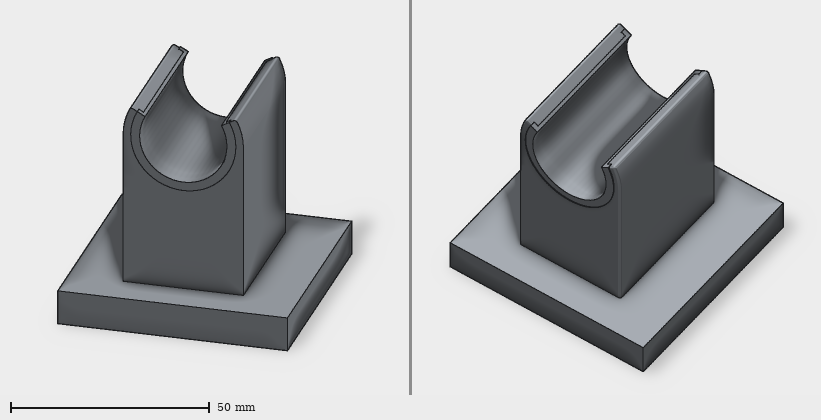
import cadquery as cq
import math

base_side = 60.0
base_height = 9.1

axis_height = 50.0
cradle_radius = 15.7
cradle_front = -20.05
cradle_back = 20.05
mouth_angle = 29.0
edge_radius = 0.7

liner_inner_radius = 11.4
sleeve_radius = 12.35
collar_radius = 13.75
collar_width = 1.5
liner_overhang = 0.25

liner_front = cradle_front
liner_back = cradle_back + liner_overhang


def on_mouth(radius, side):
    """Point (x, z) where a circle about the bore axis meets a mouth face."""
    angle = math.radians(mouth_angle)
    return side * radius * math.cos(angle), axis_height + radius * math.sin(angle)


def extrude_along_y(outline, front, back):
    """Extrude an XZ outline from Y = front to Y = back."""
    return outline.extrude(front - back).translate((0, front, 0))


def make_cylinder(radius, front, back):
    """Full cylinder about the bore axis."""
    return extrude_along_y(cq.Workplane("XZ").center(0, axis_height).circle(radius), front, back)


def make_envelope():
    """Stepped outer shape of the liner, before its bore and mouth are cut."""
    sleeve = make_cylinder(sleeve_radius, liner_front, liner_back)
    front_collar = make_cylinder(collar_radius, liner_front, liner_front + collar_width)
    back_collar = make_cylinder(collar_radius, liner_back - collar_width, liner_back)
    return sleeve.union(front_collar).union(back_collar)


def make_mouth():
    """Wedge that opens the top, with its point on the bore axis."""
    reach = 2 * cradle_radius
    outline = (
        cq.Workplane("XZ")
        .moveTo(0, axis_height)
        .lineTo(*on_mouth(reach, 1))
        .lineTo(0, axis_height + reach)
        .lineTo(*on_mouth(reach, -1))
        .close()
    )
    return extrude_along_y(outline, liner_front, liner_back)


def make_base():
    return cq.Workplane("XY").box(base_side, base_side, base_height, centered=(True, True, False))


def make_cradle():
    outline = (
        cq.Workplane("XZ")
        .moveTo(-cradle_radius, base_height)
        .lineTo(cradle_radius, base_height)
        .lineTo(cradle_radius, axis_height)
        .threePointArc((0, axis_height + cradle_radius), (-cradle_radius, axis_height))
        .close()
    )
    cradle = extrude_along_y(outline, cradle_front, cradle_back).cut(make_mouth())

    for side in (-1, 1):
        x, z = on_mouth(cradle_radius, side)
        tip = cq.selectors.NearestToPointSelector((x, 0, z))
        cradle = cradle.edges(tip).fillet(edge_radius)

    cradle = cradle.faces(">Y").edges("not <Z").fillet(edge_radius)

    return cradle.cut(make_envelope())


def make_liner():
    bore = make_cylinder(liner_inner_radius, liner_front, liner_back)
    return make_envelope().cut(bore).cut(make_mouth())


base = make_base()
cradle = make_cradle()
liner = make_liner()

result = cq.Compound.makeCompound([base.val(), cradle.val(), liner.val()])